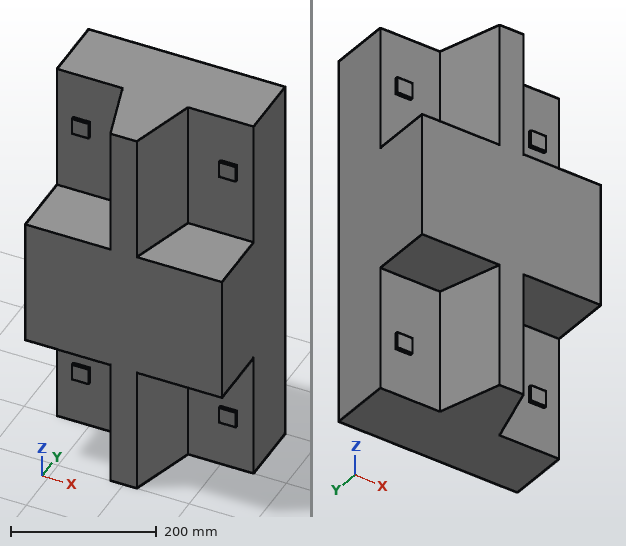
import cadquery as cq

height = 600.0
width = height / 2
depth = height / 3
slab_depth = depth / 2
block_height = height / 3

rib_root_width = width / 3
rib_tip_width = 40.0

pad_size = 25.0
pad_thickness = 5.0
pad_offset_x = 112.0
pad_offset_z = 212.5

front_y = -depth / 2
slab_face_y = depth / 2 - slab_depth


def box_between_y(size_x, y_start, y_end, size_z):
    """Box centred in X and Z, spanning the given Y range."""
    return cq.Workplane("XY").box(size_x, y_end - y_start, size_z).translate((0, (y_start + y_end) / 2, 0))


slab = box_between_y(width, slab_face_y, depth / 2, height)
block = box_between_y(width, front_y, slab_face_y, block_height)

rib = (
    cq.Workplane("XY", origin=(0, 0, -height / 2))
    .moveTo(-rib_root_width / 2, slab_face_y)
    .lineTo(-rib_tip_width / 2, front_y)
    .lineTo(rib_tip_width / 2, front_y)
    .lineTo(rib_root_width / 2, slab_face_y)
    .close()
    .extrude(height)
)

result = slab.union(block).union(rib)

pad = box_between_y(pad_size, slab_face_y - pad_thickness, slab_face_y, pad_size)
for side_x in (-1, 1):
    for side_z in (-1, 1):
        result = result.union(pad.translate((side_x * pad_offset_x, 0, side_z * pad_offset_z)))